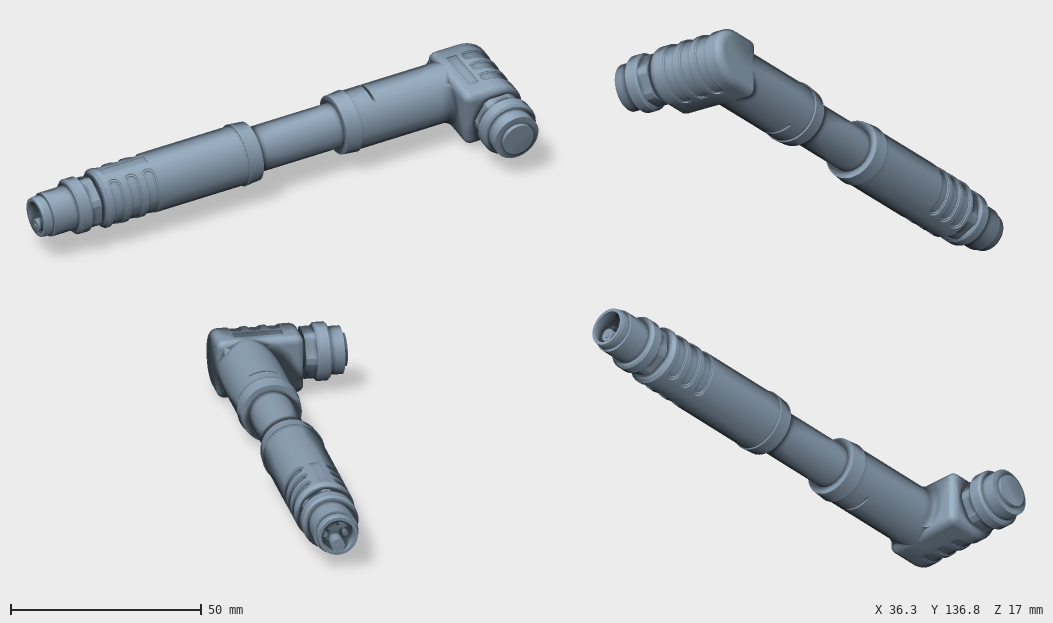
import cadquery as cq
import math

LENGTH = 136.8
SHELL_R = 16.1 / 2
COLLAR_R = 17.0 / 2
CABLE_R = 12.3 / 2

BACK_Y = SHELL_R
TIP_Y = BACK_Y - LENGTH
HEAD_FRONT_Y = -9.0
UPPER_COLLAR_Y = -36.3
CABLE_TOP_Y = -40.5
CABLE_BOTTOM_Y = -65.1
LOWER_COLLAR_Y = -69.4
GRIP_END_Y = -111.1
MALE_HEX_Y = -112.2
MALE_RING_Y = -115.0
MALE_SLEEVE_Y = -118.8
MALE_TIP_Y = -125.8
MALE_LIP_Y = -127.7
MALE_RIM_Y = -128.5

HEAD_LEFT_X = -SHELL_R
HEAD_RIGHT_X = 15.2
FEMALE_HEX_X = 16.1
FEMALE_RING_X = 19.2
FEMALE_SLEEVE_X = 23.0
FEMALE_TIP_X = 26.7
FEMALE_END_X = 27.8

HEAD_FILLET = 2.0
FLARE_R = 1.6
FLARE_INSET = 1.6
GRIP_CHAMFER = 0.8

HEX_CORNER_R = 7.0
HEX_FLATS = 12.9
MALE_RING_R = 15.0 / 2
FEMALE_RING_R = 15.6 / 2
NUT_RING_CHAMFER = 0.5
FEMALE_NECK_R = 8.9 / 2
FEMALE_NECK_BASE_R = 10.5 / 2
FEMALE_SLEEVE_R = 12.9 / 2
FEMALE_TIP_R = 8.9 / 2
MALE_NECK_R = 9.5 / 2
MALE_SLEEVE_R = 12.0 / 2
MALE_TIP_R = 11.0 / 2
MALE_LIP_R = 10.5 / 2
MALE_GROOVE_R = 10.4 / 2
MALE_GROOVE_WIDTH = 0.4

BORE_R = 8.9 / 2
BORE_DEPTH = 6.8
PIN_R = 1.5 / 2
PIN_CIRCLE_R = 2.9
PIN_COUNT = 5
PIN_SETBACK = 4.0
SOCKET_R = 1.8
SOCKET_CENTRE_Z = -2.6
STAR_SETBACK = 4.8
STAR_HUB_R = 1.2
STAR_ARM_R = 3.4
STAR_ARM_WIDTH = 0.7

SLOT_COUNT = 3
SLOT_PITCH = 5.0
SLOT_WIDTH = 3.7
SLOT_EDGE = 0.4
HEAD_SLOT_DEPTH = 0.4
HEAD_SLOT_END_Y = -1.9
HEAD_SLOT_MIDDLE_X = (HEAD_LEFT_X + HEAD_RIGHT_X) / 2
GRIP_SLOT_DEPTH = 0.5
GRIP_SLOT_END_X = 3.0
GRIP_SLOT_MIDDLE_Y = -102.5

LABEL_DEPTH = 0.3
HEAD_LABEL_LENGTH = 13.3
HEAD_LABEL_WIDTH = 3.0
GRIP_LABEL_LENGTH = 13.0
GRIP_LABEL_WIDTH = 2.7
HEAD_LABEL_Y = -4.2
CROSS_GROOVE_Y = -30.5
CROSS_GROOVE_WIDTH = 0.8
CROSS_GROOVE_HALF_LENGTH = 4.2


def turned(profile):
    """Revolve (radius, y) points, closed along the axis, around Y."""
    points = [(0, profile[0][1])] + profile + [(0, profile[-1][1])]
    return cq.Workplane("XY").polyline(points).close().revolve(360, (0, 0, 0), (0, 1, 0))


def disc(radius, y_start, y_end):
    return turned([(radius, y_start), (radius, y_end)])


def along_outlet(body):
    """Turn a body built along -Y so that it points along +X."""
    return body.rotate((0, 0, 0), (0, 0, 1), 90)


def box_between(x_range, y_range, z_range):
    size = [high - low for low, high in (x_range, y_range, z_range)]
    return cq.Workplane("XY").box(*size, centered=False).translate((x_range[0], y_range[0], z_range[0]))


def hex_nut(y_start, y_end):
    """Hexagon with a corner at +Z, its corners turned to a round."""
    corner = HEX_FLATS / 2 / math.cos(math.radians(30))
    angles = [math.radians(90 + 60 * i) for i in range(6)]
    outline = [(corner * math.cos(a), corner * math.sin(a)) for a in angles]
    prism = cq.Workplane("XZ", origin=(0, y_start, 0)).polyline(outline).close().extrude(y_start - y_end)
    return prism.intersect(disc(HEX_CORNER_R, y_start, y_end))


def nut_ring(radius, y_start, y_end):
    return turned([
        (radius - NUT_RING_CHAMFER, y_start),
        (radius, y_start - NUT_RING_CHAMFER),
        (radius, y_end + NUT_RING_CHAMFER),
        (radius - NUT_RING_CHAMFER, y_end),
    ])


def u_block(radius, x_start, x_end, y_front):
    """Block along X with a half-round back centred on the cable axis."""
    return (
        cq.Workplane("YZ", origin=(x_start, 0, 0))
        .moveTo(y_front, -radius)
        .lineTo(0, -radius)
        .threePointArc((radius, 0), (0, radius))
        .lineTo(y_front, radius)
        .close()
        .extrude(x_end - x_start)
    )


def slot_positions(middle):
    return [middle + (i - (SLOT_COUNT - 1) / 2) * SLOT_PITCH for i in range(SLOT_COUNT)]


def slot_prism(width, length):
    """Tall prism along +Y whose rounded end touches the origin."""
    radius = width / 2
    height = 4 * SHELL_R
    return (
        cq.Workplane("XY", origin=(0, 0, -height / 2))
        .moveTo(-radius, length)
        .lineTo(-radius, radius)
        .threePointArc((0, 0), (radius, radius))
        .lineTo(radius, length)
        .close()
        .extrude(height)
    )


def head_block():
    block = u_block(SHELL_R, HEAD_LEFT_X, HEAD_RIGHT_X, HEAD_FRONT_Y)
    return block.faces("<X or >X or <Y").edges().fillet(HEAD_FILLET)


def head_flare():
    """Concave blend around the upper grip, trimmed inside the outline of the head."""
    outer = SHELL_R + FLARE_R
    root_y = HEAD_FRONT_Y + HEAD_FILLET / 2
    end_y = HEAD_FRONT_Y - FLARE_R
    middle = FLARE_R * (1 - math.sqrt(0.5))
    ring = (
        cq.Workplane("XY")
        .moveTo(0, root_y)
        .lineTo(outer, root_y)
        .lineTo(outer, HEAD_FRONT_Y)
        .threePointArc((SHELL_R + middle, HEAD_FRONT_Y - middle), (SHELL_R, end_y))
        .lineTo(0, end_y)
        .close()
        .revolve(360, (0, 0, 0), (0, 1, 0))
    )
    reach = SHELL_R - FLARE_INSET
    return ring.intersect(box_between((-reach, outer), (end_y, root_y), (-reach, reach)))


def cut_head_slots(body):
    for inset, depth in ((0, HEAD_SLOT_DEPTH / 2), (SLOT_EDGE, HEAD_SLOT_DEPTH)):
        core = u_block(SHELL_R - depth, HEAD_LEFT_X, HEAD_RIGHT_X, HEAD_FRONT_Y)
        prism = slot_prism(SLOT_WIDTH - 2 * inset, 2 * SHELL_R).translate((0, HEAD_SLOT_END_Y + inset, 0))
        for x in slot_positions(HEAD_SLOT_MIDDLE_X):
            body = body.cut(prism.translate((x, 0, 0)).cut(core))
    return body


def cut_grip_slots(body):
    for inset, depth in ((0, GRIP_SLOT_DEPTH / 2), (SLOT_EDGE, GRIP_SLOT_DEPTH)):
        core = disc(SHELL_R - depth, LOWER_COLLAR_Y, GRIP_END_Y)
        prism = slot_prism(SLOT_WIDTH - 2 * inset, 2 * SHELL_R).translate((0, GRIP_SLOT_END_X + inset, 0))
        for y in slot_positions(GRIP_SLOT_MIDDLE_Y):
            for turn in (-90, 90):
                cutter = prism.rotate((0, 0, 0), (0, 0, 1), turn).translate((0, y, 0)).cut(core)
                body = body.cut(cutter)
    return body


def label_recess(length_x, length_y, x, y):
    return cq.Workplane("XY").box(length_x, length_y, 2 * LABEL_DEPTH).translate((x, y, SHELL_R))


def cross_grooves():
    floor_z = math.sqrt(SHELL_R**2 - CROSS_GROOVE_HALF_LENGTH**2)
    half = CROSS_GROOVE_WIDTH / 2
    y_range = (CROSS_GROOVE_Y - half, CROSS_GROOVE_Y + half)
    x_range = (-SHELL_R, SHELL_R)
    top = box_between(x_range, y_range, (floor_z, SHELL_R))
    return top.union(box_between(x_range, y_range, (-SHELL_R, -floor_z)))


def grips_and_cable():
    return turned([
        (SHELL_R, HEAD_FRONT_Y + HEAD_FILLET),
        (SHELL_R, UPPER_COLLAR_Y),
        (COLLAR_R, UPPER_COLLAR_Y),
        (SHELL_R, CABLE_TOP_Y),
        (CABLE_R, CABLE_TOP_Y),
        (CABLE_R, CABLE_BOTTOM_Y),
        (SHELL_R, CABLE_BOTTOM_Y),
        (COLLAR_R, LOWER_COLLAR_Y),
        (SHELL_R, LOWER_COLLAR_Y),
        (SHELL_R, GRIP_END_Y + GRIP_CHAMFER),
        (SHELL_R - GRIP_CHAMFER, GRIP_END_Y),
    ])


def shielding_star(floor_y):
    """Hub with one arm opposite each pin, standing on the bore floor."""
    front_y = MALE_RIM_Y + STAR_SETBACK
    star = disc(STAR_HUB_R, floor_y, front_y)
    half = STAR_ARM_WIDTH / 2
    arm = box_between((-half, half), (front_y, floor_y), (0, STAR_ARM_R))
    for i in range(PIN_COUNT):
        star = star.union(arm.rotate((0, 0, 0), (0, 1, 0), 360 / PIN_COUNT * i))
    return star


def contact_pins(floor_y):
    """Ring of pins; the lowest one leads and sits in an insulating post."""
    pins = disc(SOCKET_R, floor_y, MALE_RIM_Y).translate((0, 0, SOCKET_CENTRE_Z))
    for i in range(PIN_COUNT):
        end_y = TIP_Y if i == 0 else MALE_RIM_Y + PIN_SETBACK
        pin = disc(PIN_R, floor_y, end_y).translate((0, 0, -PIN_CIRCLE_R))
        pins = pins.union(pin.rotate((0, 0, 0), (0, 1, 0), 360 / PIN_COUNT * i))
    return pins


def male_connector():
    groove_end_y = MALE_TIP_Y - MALE_GROOVE_WIDTH
    stem = turned([
        (MALE_NECK_R, GRIP_END_Y),
        (MALE_NECK_R, MALE_SLEEVE_Y),
        (MALE_SLEEVE_R, MALE_SLEEVE_Y),
        (MALE_SLEEVE_R, MALE_TIP_Y),
        (MALE_GROOVE_R, MALE_TIP_Y),
        (MALE_GROOVE_R, groove_end_y),
        (MALE_TIP_R, groove_end_y),
        (MALE_TIP_R, MALE_LIP_Y),
        (MALE_LIP_R, MALE_RIM_Y),
    ])
    floor_y = MALE_RIM_Y + BORE_DEPTH
    body = stem.cut(disc(BORE_R, floor_y, MALE_RIM_Y))
    body = body.union(hex_nut(MALE_HEX_Y, MALE_RING_Y))
    body = body.union(nut_ring(MALE_RING_R, MALE_RING_Y, MALE_SLEEVE_Y))
    body = body.union(shielding_star(floor_y))
    return body.union(contact_pins(floor_y))


def female_connector():
    stem = turned([
        (FEMALE_NECK_BASE_R, -HEAD_RIGHT_X),
        (FEMALE_NECK_R, -FEMALE_HEX_X),
        (FEMALE_NECK_R, -FEMALE_SLEEVE_X),
        (FEMALE_SLEEVE_R, -FEMALE_SLEEVE_X),
        (FEMALE_SLEEVE_R, -FEMALE_TIP_X),
        (FEMALE_TIP_R, -FEMALE_TIP_X),
        (FEMALE_TIP_R, -FEMALE_END_X),
    ])
    hexagon = hex_nut(-FEMALE_HEX_X, -FEMALE_RING_X).rotate((0, 0, 0), (0, 1, 0), 90)
    ring = nut_ring(FEMALE_RING_R, -FEMALE_RING_X, -FEMALE_SLEEVE_X)
    return along_outlet(stem.union(hexagon).union(ring))


head = cut_head_slots(head_block()).union(head_flare())
head = head.union(female_connector())
cable = cut_grip_slots(grips_and_cable()).cut(cross_grooves())
result = head.union(cable).union(male_connector())
result = result.cut(label_recess(HEAD_LABEL_LENGTH, HEAD_LABEL_WIDTH, HEAD_SLOT_MIDDLE_X, HEAD_LABEL_Y))
result = result.cut(label_recess(GRIP_LABEL_WIDTH, GRIP_LABEL_LENGTH, 0, GRIP_SLOT_MIDDLE_Y))